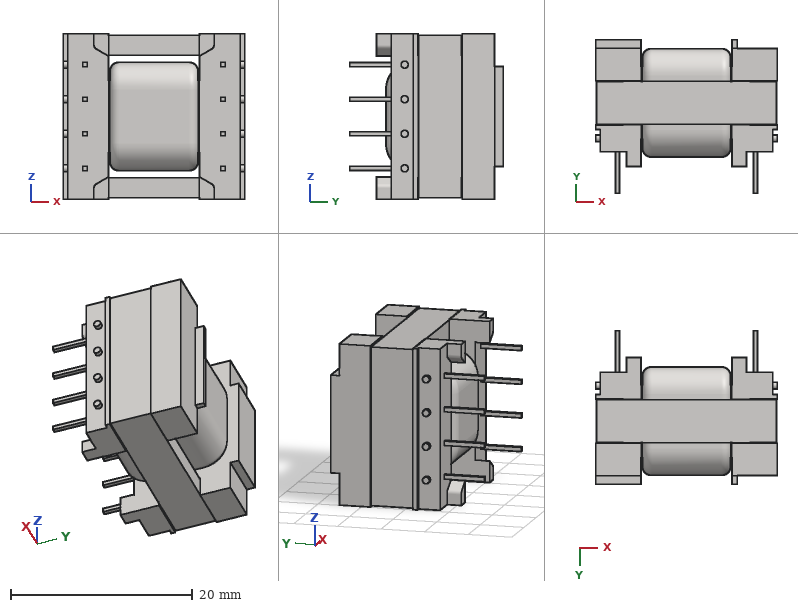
import cadquery as cq
import math


overall_width = 20.1
bobbin_height = 18.3
flange_gap = 10.05
tube_size = 8.0
rear_face_y = 6.0
front_face_y = -5.4

core_width = 19.9
core_height = 18.0
core_depth = 4.76
window_width = 13.99
window_height = 13.5
core_clearance = 0.06

lip_projection = 0.5
lip_depth = 0.5
peg_diameter = 0.78
peg_y = -3.92

foot_width = 1.6
foot_height = 2.47
foot_front_y = -7.04
foot_slope_angle = 30.0
foot_fillet = 0.5

rib_rear_y = 7.0
rib_height = 11.1
narrow_rib_width = 0.6

coil_length = 9.77
coil_size = 12.0
coil_corner_radius = 3.0
coil_end_fillet = 1.0

pin_size = 0.48
pin_x = 7.62
pin_tip_y = -10.0
pin_pitch = 3.82
pins_per_side = 4

half_width = overall_width / 2
half_gap = flange_gap / 2
core_half_depth = core_depth / 2
flange_start_y = core_half_depth + core_clearance
body_half_width = half_width - lip_projection
pin_heights = [(i - (pins_per_side - 1) / 2) * pin_pitch for i in range(pins_per_side)]


def block(x_range, y_range, height):
    """Box between two X and two Y values, centred on Z = 0."""
    x_min, x_max = x_range
    y_min, y_max = y_range
    return (
        cq.Workplane("XY")
        .box(x_max - x_min, y_max - y_min, height, centered=(False, False, True))
        .translate((x_min, y_min, 0))
    )


def mirrored_x(shape):
    """The shape together with its mirror image across the YZ plane."""
    return shape.union(shape.mirror("YZ"))


def core_frame():
    outer = cq.Workplane("XY").box(core_width, core_depth, core_height)
    window = cq.Workplane("XY").box(window_width, core_depth, window_height)
    return outer.cut(window)


def bobbin_tube():
    """Square tube, filled by the middle leg of the core."""
    return cq.Workplane("XY").box(window_width, tube_size, tube_size)


def coil():
    return (
        cq.Workplane("XY")
        .box(coil_length, coil_size, coil_size)
        .edges("|X").fillet(coil_corner_radius)
        .faces("<X or >X").edges().fillet(coil_end_fillet)
    )


def right_foot():
    """Upper foot of the right flange block, with a sloped underside."""
    top_z = bobbin_height / 2
    inner_z = top_z - foot_height
    outer_x = half_gap + foot_width
    outer_z = inner_z + foot_width * math.tan(math.radians(foot_slope_angle))
    foot = (
        cq.Workplane("XZ", origin=(0, front_face_y, 0))
        .polyline([(half_gap, inner_z), (outer_x, outer_z), (outer_x, top_z), (half_gap, top_z)])
        .close()
        .extrude(front_face_y - foot_front_y)
    )
    middle_y = (front_face_y + foot_front_y) / 2
    outer_corner = cq.selectors.NearestToPointSelector((outer_x, middle_y, outer_z))
    return foot.edges("|Y").edges(outer_corner).fillet(foot_fillet)


def right_bobbin_side():
    """Right half of the bobbin, without the rib on the rear flange block."""
    wall = block((half_gap, window_width / 2), (-flange_start_y, flange_start_y), window_height)
    rear_flange = block((half_gap, half_width), (flange_start_y, rear_face_y), bobbin_height)
    front_flange = block((half_gap, body_half_width), (front_face_y, -flange_start_y), bobbin_height)
    lip = block((half_gap, half_width), (-flange_start_y - lip_depth, -flange_start_y), bobbin_height)
    upper_foot = right_foot()
    lower_foot = upper_foot.mirror("XY")
    return wall.union(rear_flange).union(front_flange).union(lip).union(upper_foot).union(lower_foot)


def right_pegs():
    return (
        cq.Workplane("YZ", origin=(body_half_width, 0, 0))
        .pushPoints([(peg_y, z) for z in pin_heights])
        .circle(peg_diameter / 2)
        .extrude(lip_projection)
    )


def right_pins():
    return (
        cq.Workplane("XZ", origin=(0, front_face_y, 0))
        .pushPoints([(pin_x, z) for z in pin_heights])
        .rect(pin_size, pin_size)
        .extrude(front_face_y - pin_tip_y)
    )


def rear_ribs():
    """Full-width rib on the left flange block and a narrow one on the right."""
    y_range = (rear_face_y, rib_rear_y)
    wide_rib = block((-half_width, -half_gap), y_range, rib_height)
    narrow_rib = block((half_gap, half_gap + narrow_rib_width), y_range, rib_height)
    return wide_rib.union(narrow_rib)


right_side = right_bobbin_side().union(right_pegs()).union(right_pins())
result = (
    core_frame()
    .union(bobbin_tube())
    .union(mirrored_x(right_side))
    .union(rear_ribs())
    .union(coil())
)